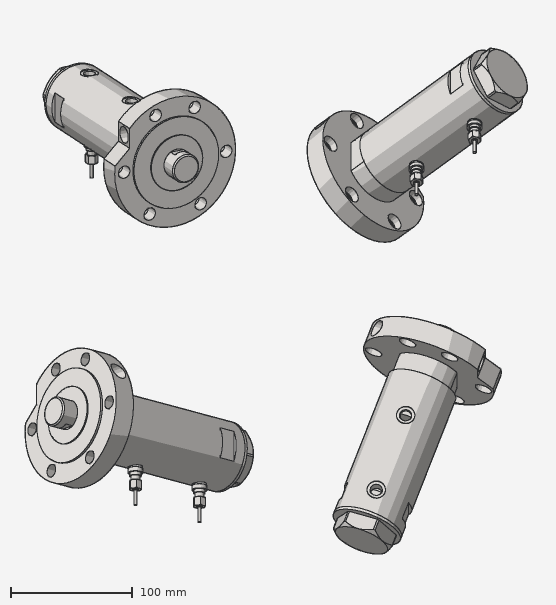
import cadquery as cq
import math


hex_length = 12.7
collar_length = 2.5
barrel_start = hex_length + collar_length
barrel_end = 145.5
flange_start = 161.0
flange_thickness = 18.8
pilot_length = 2.0
flange_end = flange_start + flange_thickness
pilot_end = flange_end + pilot_length
gland_start = 107.1
gland_end = 183.0
rod_end = 198.5

barrel_radius = 29.5
bore_radius = 19.8
wrench_flat_start = 24.8
wrench_flat_length = 14.9
wrench_flat_distance = 26.5

port_positions = [35.3, 106.0]
port_diameter = 10.0
spotface_diameter = 15.0
spotface_height = 28.5

hex_across_flats = 45.8
hex_corner_radius = 26.0
hex_face_radius = 22.8
hex_chamfer_length = 3.2
hex_angle = 7.5
spigot_end = 38.3

flange_radius = 57.0
neck_flat_distance = 25.0
pilot_radius = 39.9
bolt_circle_radius = 48.0
bolt_angles = [0, 67.5, 112.5, 180, 240, 300]
bolt_hole_diameter = 10.7
counterbore_diameter = 14.3
counterbore_depth = 6.7
notch_y = -42.9
notch_corner_z = 20.0
notch_lower_z = 7.0
cross_hole_diameter = 14.0
cross_hole_z = 28.8

gland_radius = 24.2
gland_head_radius = 25.8
rod_radius = 12.3
rod_chamfer = 1.2
rod_flat_end = 189.9
rod_flat_distance = 10.7
piston_length = 29.8

sensor_positions = [39.0, 109.0]
sensor_seat_radius = 6.0
sensor_seat_z = -27.8
sensor_shoulder_radius = 6.2
sensor_shoulder_top = -30.8
sensor_shoulder_bottom = -34.3
sensor_step_radius = 4.8
sensor_step_bottom = -37.1
sensor_neck_radius = 3.8
sensor_nut_top = -41.0
sensor_nut_corner_radius = 5.4
sensor_nut_chamfer = 0.5
sensor_nut_bottom = -48.6
sensor_tip_radius = 2.5
sensor_tip_bottom = -49.5
cable_radius = 1.4
cable_end = -62.0


def rod_along_x(radius, start, end):
    """Round bar on the bore axis from x = start to x = end."""
    return cq.Workplane("YZ").workplane(offset=start).circle(radius).extrude(end - start)


def rod_along_z(radius, x, top, bottom):
    """Vertical round bar at the given x, from the top down to the bottom."""
    return cq.Workplane("XY").workplane(offset=bottom).center(x, 0).circle(radius).extrude(top - bottom)


def flat_cutters(start, end, distance):
    """Two blocks that cut opposite flats facing +Y and -Y, both at the given distance from the axis."""
    block = cq.Workplane("XY").box(end - start, barrel_radius, 2 * barrel_radius)
    block = block.translate(((start + end) / 2, distance + barrel_radius / 2, 0))
    return block.union(block.mirror("XZ"))


def make_barrel():
    """Bored tube with wrench flats, oil ports on top and sensor seats below."""
    barrel = rod_along_x(barrel_radius, barrel_start, barrel_end)
    barrel = barrel.cut(rod_along_x(bore_radius, barrel_start, barrel_end))
    barrel = barrel.cut(rod_along_x(gland_head_radius, gland_start, barrel_end))
    wrench_flat_end = wrench_flat_start + wrench_flat_length
    barrel = barrel.cut(flat_cutters(wrench_flat_start, wrench_flat_end, wrench_flat_distance))
    for x in port_positions:
        barrel = barrel.cut(rod_along_z(spotface_diameter / 2, x, barrel_radius, spotface_height))
        barrel = barrel.cut(rod_along_z(port_diameter / 2, x, barrel_radius, 0))
    for x in sensor_positions:
        barrel = barrel.cut(rod_along_z(sensor_seat_radius, x, sensor_seat_z, -barrel_radius))
    return barrel


def make_cap():
    """Screw cap: chamfered hexagon, round collar and a spigot that fills the end of the bore."""
    corner_diameter = hex_across_flats / math.cos(math.pi / 6)
    hexagon = cq.Workplane("YZ").polygon(6, corner_diameter).extrude(hex_length)
    hexagon = hexagon.rotate((0, 0, 0), (1, 0, 0), -hex_angle)
    envelope = (
        cq.Workplane("XY")
        .polyline([
            (0, 0),
            (0, hex_face_radius),
            (hex_chamfer_length, hex_corner_radius),
            (hex_length, hex_corner_radius),
            (hex_length, 0),
        ])
        .close()
        .revolve(360, (0, 0, 0), (1, 0, 0))
    )
    collar = rod_along_x(barrel_radius, hex_length, barrel_start)
    spigot = rod_along_x(bore_radius, barrel_start, spigot_end)
    return hexagon.intersect(envelope).union(collar).union(spigot)


def make_flange():
    """Mounting flange with a flatted neck on the barrel side and a low pilot on the other."""
    neck = rod_along_x(barrel_radius, barrel_end, flange_start)
    neck = neck.cut(flat_cutters(barrel_end, flange_start, neck_flat_distance))
    plate = rod_along_x(flange_radius, flange_start, flange_end).cut(notch())
    pilot = rod_along_x(pilot_radius, flange_end, pilot_end)
    flange = neck.union(plate).union(pilot)
    flange = flange.cut(rod_along_x(gland_radius, barrel_end, pilot_end))
    return flange.cut(bolt_holes()).cut(cross_hole())


def notch():
    """Cutter for the notch: an upright wall, then a slope down to the rim."""
    upper_z = math.sqrt(flange_radius**2 - notch_y**2)
    lower_y = -math.sqrt(flange_radius**2 - notch_lower_z**2)
    return (
        cq.Workplane("YZ")
        .workplane(offset=flange_start)
        .polyline([
            (notch_y, upper_z),
            (notch_y, notch_corner_z),
            (lower_y, notch_lower_z),
            (lower_y, upper_z),
        ])
        .close()
        .extrude(flange_thickness)
    )


def bolt_holes():
    """Cutters for the bolt holes, counterbored from the barrel side."""
    centers = [
        (bolt_circle_radius * math.cos(math.radians(a)), bolt_circle_radius * math.sin(math.radians(a)))
        for a in bolt_angles
    ]
    face = cq.Workplane("YZ").workplane(offset=flange_start).pushPoints(centers)
    through = face.circle(bolt_hole_diameter / 2).extrude(flange_thickness)
    counterbores = face.circle(counterbore_diameter / 2).extrude(counterbore_depth)
    return through.union(counterbores)


def cross_hole():
    """Hole through the flange along Y, passing over the gland."""
    middle = (flange_start + flange_end) / 2
    return (
        cq.Workplane("XZ")
        .center(middle, cross_hole_z)
        .circle(cross_hole_diameter / 2)
        .extrude(flange_radius, both=True)
    )


def make_gland():
    """Rod guide: a wider head inside the barrel and a sleeve through the flange."""
    head = rod_along_x(gland_head_radius, gland_start, barrel_end)
    sleeve = rod_along_x(gland_radius, barrel_end, gland_end)
    gland = head.union(sleeve)
    return gland.cut(rod_along_x(rod_radius, gland_start, gland_end))


def make_piston_rod():
    """Rod with a piston at its inner end and flats on top and bottom of its outer end."""
    rod = rod_along_x(rod_radius, spigot_end, rod_end).faces(">X").chamfer(rod_chamfer)
    flats = flat_cutters(gland_end, rod_flat_end, rod_flat_distance)
    rod = rod.cut(flats.rotate((0, 0, 0), (1, 0, 0), 90))
    piston = rod_along_x(bore_radius, spigot_end, spigot_end + piston_length)
    return rod.union(piston)


def make_sensor(x):
    """Screwed-in sensor hanging from the barrel: stepped body, hexagon and cable."""
    seat = rod_along_z(sensor_seat_radius, x, sensor_seat_z, sensor_shoulder_top)
    shoulder = rod_along_z(sensor_shoulder_radius, x, sensor_shoulder_top, sensor_shoulder_bottom)
    step = rod_along_z(sensor_step_radius, x, sensor_shoulder_bottom, sensor_step_bottom)
    neck = rod_along_z(sensor_neck_radius, x, sensor_step_bottom, sensor_nut_top)
    nut = (
        cq.Workplane("XY")
        .workplane(offset=sensor_nut_bottom)
        .center(x, 0)
        .polygon(6, 2 * sensor_nut_corner_radius)
        .extrude(sensor_nut_top - sensor_nut_bottom)
    )
    rounding = rod_along_z(sensor_nut_corner_radius, x, sensor_nut_top, sensor_nut_bottom)
    nut = nut.intersect(rounding.faces("<Z or >Z").chamfer(sensor_nut_chamfer))
    tip = rod_along_z(sensor_tip_radius, x, sensor_nut_bottom, sensor_tip_bottom)
    cable = rod_along_z(cable_radius, x, sensor_tip_bottom, cable_end)
    return seat.union(shoulder).union(step).union(neck).union(nut).union(tip).union(cable)


barrel = make_barrel()
cap = make_cap()
flange = make_flange()
gland = make_gland()
piston_rod = make_piston_rod()
sensors = [make_sensor(x).val() for x in sensor_positions]

result = cq.Compound.makeCompound(
    [barrel.val(), cap.val(), flange.val(), gland.val(), piston_rod.val(), *sensors]
)